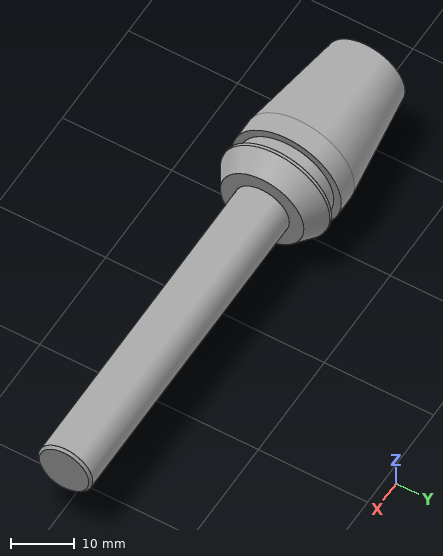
import cadquery as cq

total_length = 91.5
head_diameter = 20.0
nose_diameter = 14.4
groove_diameter = 17.3
collar_end_diameter = 15.3
shaft_diameter = 10.0

taper_length = 20.0
band_length = 4.0
groove_width = 2.9
rim_width = 0.55
collar_taper_length = 3.9
shaft_chamfer = 0.5

taper_end = taper_length
band_end = taper_end + band_length
groove_end = band_end + groove_width
rim_end = groove_end + rim_width
collar_end = rim_end + collar_taper_length

head = (
    cq.Workplane("XY")
    .moveTo(0, 0)
    .lineTo(0, nose_diameter / 2)
    .lineTo(taper_end, head_diameter / 2)
    .lineTo(band_end, head_diameter / 2)
    .lineTo(band_end, groove_diameter / 2)
    .lineTo(groove_end, groove_diameter / 2)
    .lineTo(groove_end, head_diameter / 2)
    .lineTo(rim_end, head_diameter / 2)
    .lineTo(collar_end, collar_end_diameter / 2)
    .lineTo(collar_end, 0)
    .close()
    .revolve(360, (0, 0, 0), (1, 0, 0))
)

shaft = (
    cq.Workplane("YZ", origin=(collar_end, 0, 0))
    .circle(shaft_diameter / 2)
    .extrude(total_length - collar_end)
    .faces(">X")
    .chamfer(shaft_chamfer)
)

result = head.union(shaft)